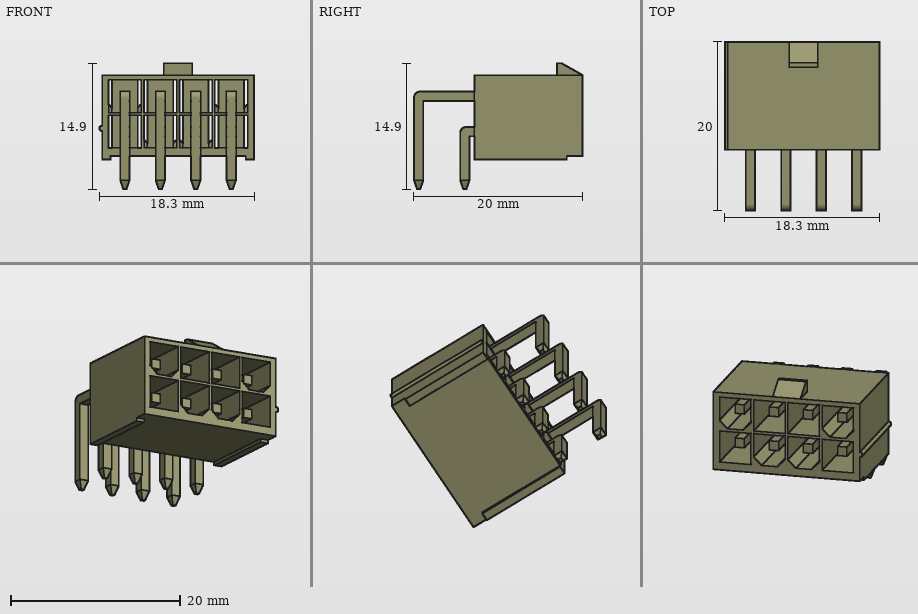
import cadquery as cq


body_width = 18.0
body_depth = 12.8
body_height = 10.0
foot_width = 1.02
foot_height = 0.4
foot_setback = 1.85

columns = 4
pitch = 4.2
cavity_size = 3.85
top_wall = 0.58
upper_row_z = body_height - top_wall - cavity_size / 2
lower_row_z = upper_row_z - pitch
column_xs = [(column - (columns - 1) / 2) * pitch for column in range(columns)]

web_width = 3.05
web_setback = 0.9
web_thickness = 1.0
socket_start = web_setback + web_thickness
key_chamfer = 0.98
keyed_upper_columns = (0, 3)
keyed_lower_columns = (1, 2)

pin_size = 1.14
pin_bend_radius = 0.75
pin_tip_z = -3.5
pin_taper_length = 1.08
pin_tip_size = 0.4
pin_end_setback = 2.0
upper_pin_reach = 7.17
lower_pin_reach = 1.7

latch_width = 3.4
latch_depth = 3.04
latch_height = 1.4
latch_flat = 0.55
ridge_radius = 0.32
ridge_z = 3.7


def block(size_x, size_y, size_z, center_x, start_y, center_z):
    """Box centred in X and Z that grows toward +Y from start_y."""
    box = cq.Workplane("XY").box(size_x, size_y, size_z, centered=(True, False, True))
    return box.translate((center_x, start_y, center_z))


def make_housing():
    shell_height = body_height - foot_height
    shell = block(body_width, body_depth, shell_height, 0, 0, foot_height + shell_height / 2)
    foot_x = (body_width - foot_width) / 2
    for x in (-foot_x, foot_x):
        foot = block(foot_width, body_depth - foot_setback, foot_height, x, 0, foot_height / 2)
        shell = shell.union(foot)
    return shell


def make_cavity(x, z, keyed):
    """Space removed for one contact; a keyed one has chamfered lower corners in its socket."""
    cavity = block(cavity_size, body_depth, cavity_size, x, 0, z)
    web = block(web_width, web_thickness, cavity_size, x, web_setback, z)
    cavity = cavity.cut(web)
    if keyed:
        bottom = z - cavity_size / 2
        for side in (-1, 1):
            corner_x = x + side * cavity_size / 2
            key = (
                cq.Workplane("XZ", origin=(0, socket_start, 0))
                .moveTo(corner_x, bottom)
                .lineTo(corner_x, bottom + key_chamfer)
                .lineTo(corner_x - side * key_chamfer, bottom)
                .close()
                .extrude(socket_start - body_depth)
            )
            cavity = cavity.cut(key)
    return cavity


def make_pin(x, z, reach):
    """Square pin running out of the housing, bent down and tapered at its lower end."""
    top = z + pin_size / 2
    contact_length = reach + body_depth - pin_end_setback
    contact = block(pin_size, contact_length, pin_size, x, -reach, z)
    taper_top = pin_tip_z + pin_taper_length
    leg = block(pin_size, pin_size, top - taper_top, x, -reach, (top + taper_top) / 2)
    pin = contact.union(leg).edges("|X and >Z and <Y").fillet(pin_bend_radius)
    tip = (
        cq.Workplane("XY", origin=(x, pin_size / 2 - reach, taper_top))
        .rect(pin_size, pin_size)
        .workplane(offset=-pin_taper_length)
        .rect(pin_tip_size, pin_tip_size)
        .loft()
    )
    return pin.union(tip)


def make_latch():
    """Ramp on the top face, rising from the mating face to a short flat."""
    front = body_depth - latch_depth
    return (
        cq.Workplane("YZ", origin=(-latch_width / 2, 0, body_height))
        .moveTo(body_depth, 0)
        .lineTo(front + latch_flat, latch_height)
        .lineTo(front, latch_height)
        .lineTo(front, 0)
        .close()
        .extrude(latch_width)
    )


def make_ridge():
    """Half-round ridge along the whole -X side."""
    rod = cq.Workplane("XZ", origin=(-body_width / 2, 0, ridge_z)).circle(ridge_radius)
    return rod.extrude(-body_depth)


result = make_housing().union(make_latch()).union(make_ridge())

rows = (
    (upper_row_z, upper_pin_reach, keyed_upper_columns),
    (lower_row_z, lower_pin_reach, keyed_lower_columns),
)
for row_z, row_reach, keyed_columns in rows:
    for column, column_x in enumerate(column_xs):
        result = result.cut(make_cavity(column_x, row_z, column in keyed_columns))
        result = result.union(make_pin(column_x, row_z, row_reach))